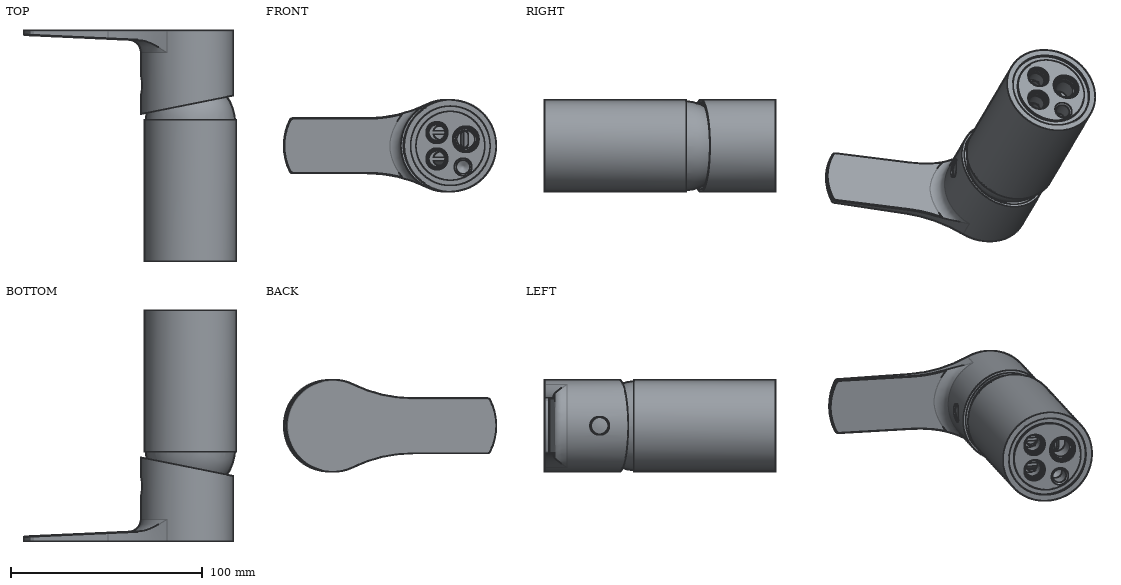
import cadquery as cq
import math


LENGTH = 120.5

BODY_RADIUS = 24.0
BODY_LENGTH = 73.9
GROOVE_OUTER_RADIUS = 20.7
GROOVE_INNER_RADIUS = 18.0
GROOVE_DEPTH = 1.5

MOUTH_CHAMFER = 0.4

INLET_X = -7.0
INLET_Z = 6.9
INLET_STEPS = ((5.3, 1.9), (4.8, 3.7), (4.2, 10.8))
PASSAGE_X = -5.2
PASSAGE_RADIUS = 3.7
PASSAGE_DEPTH = 14.5
WEB_THICKNESS = 1.7
WEB_FOOT = 2.4

OUTLET_X = 8.1
OUTLET_Z = 3.4
OUTLET_STEPS = ((6.5, 1.2), (5.7, 3.1), (4.7, 13.3))
SLOT_X = 7.4
SLOT_WIDTH = 3.9
SLOT_HEIGHT = 8.4
SLOT_DEPTH = 16.9
RIDGE_X = 7.0
RIDGE_GAP = 0.5

FIXING_X = 6.6
FIXING_Z = -11.1
FIXING_RADIUS = 3.6
FIXING_CHAMFER = 1.0
FIXING_DEPTH = 9.6
FIXING_TIP_DEPTH = 2.0

DOME_RADIUS = 23.4
DOME_CENTRE_Y = 72.3

HANDLE_X = -1.7
HANDLE_RADIUS = 24.1
HANDLE_FRONT_Y = 81.6
HANDLE_SLANT = 11.3
CAVITY_RADIUS = 22.7
CAVITY_END_Y = 98.9
BACK_EDGE_RADIUS = 0.4

LEVER_TIP_X = -86.9
LEVER_HALF_WIDTH = 14.5
LEVER_TIP_RADIUS = 30.1
LEVER_CORNER_RADIUS = 1.8
LEVER_FLARE_RADIUS = 69.9
LEVER_TIP_THICKNESS = 2.7
LEVER_TAPER = 2.6
LEVER_BLEND_RADIUS = 6.5
LEVER_EDGE_CHAMFER = 0.5

PLUG_Y = 91.7
PLUG_RADIUS = 4.5
PLUG_CHAMFER = 0.6
PLUG_RECESS = 0.8
PLUG_CROWN = 0.5


def cylinder_y(radius, start_y, end_y, x=0.0, z=0.0):
    start = cq.Vector(x, start_y, z)
    return cq.Workplane(cq.Solid.makeCylinder(radius, end_y - start_y, start, cq.Vector(0, 1, 0)))


def cone_y(start_radius, end_radius, start_y, length, x, z):
    start = cq.Vector(x, start_y, z)
    return cq.Workplane(cq.Solid.makeCone(start_radius, end_radius, length, start, cq.Vector(0, 1, 0)))


def stepped_hole(steps, x, z):
    """Hole whose radius shrinks step by step, with a chamfered mouth."""
    mouth_radius = steps[0][0]
    hole = cone_y(mouth_radius + MOUTH_CHAMFER, mouth_radius, 0, MOUTH_CHAMFER, x, z)
    for radius, depth in steps:
        hole = hole.union(cylinder_y(radius, 0, depth, x, z))
    return hole


def inlet_cut(side):
    """Stepped inlet hole leading to an offset passage that a web splits in two; side is +1 or -1."""
    z = side * INLET_Z
    floor_depth = INLET_STEPS[-1][1]
    inner_z = z - side * WEB_THICKNESS / 2
    outer_z = z + side * WEB_THICKNESS / 2
    web = (
        cq.Workplane("YZ")
        .polyline([
            (floor_depth, inner_z),
            (floor_depth, outer_z),
            (PASSAGE_DEPTH, outer_z + side * WEB_FOOT),
            (PASSAGE_DEPTH, inner_z),
        ])
        .close()
        .extrude(BODY_RADIUS, both=True)
    )
    passage = cylinder_y(PASSAGE_RADIUS, floor_depth, PASSAGE_DEPTH, PASSAGE_X, z).cut(web)
    return stepped_hole(INLET_STEPS, INLET_X, z).union(passage)


def outlet_cut():
    """Stepped outlet hole; its floor has an upright round-ended slot with a sharp ridge along it."""
    floor_depth = OUTLET_STEPS[-1][1]
    slot = (
        cq.Workplane("XZ", origin=(0, floor_depth, 0))
        .center(SLOT_X, OUTLET_Z)
        .slot2D(SLOT_HEIGHT, SLOT_WIDTH, 90)
        .extrude(floor_depth - SLOT_DEPTH)
    )
    ridge = (
        cq.Workplane("XY")
        .polyline([
            (SLOT_X - SLOT_WIDTH / 2, SLOT_DEPTH),
            (RIDGE_X, floor_depth + RIDGE_GAP),
            (SLOT_X + SLOT_WIDTH / 2, SLOT_DEPTH),
        ])
        .close()
        .extrude(BODY_RADIUS, both=True)
    )
    return stepped_hole(OUTLET_STEPS, OUTLET_X, OUTLET_Z).union(slot.cut(ridge))


def fixing_cut():
    mouth_radius = FIXING_RADIUS + FIXING_CHAMFER
    return (
        cone_y(mouth_radius, FIXING_RADIUS, 0, FIXING_CHAMFER, FIXING_X, FIXING_Z)
        .union(cylinder_y(FIXING_RADIUS, 0, FIXING_DEPTH, FIXING_X, FIXING_Z))
        .union(cone_y(FIXING_RADIUS, 0, FIXING_DEPTH, FIXING_TIP_DEPTH, FIXING_X, FIXING_Z))
    )


def make_body():
    groove = cylinder_y(GROOVE_OUTER_RADIUS, 0, GROOVE_DEPTH).cut(
        cylinder_y(GROOVE_INNER_RADIUS, 0, GROOVE_DEPTH)
    )
    body = cylinder_y(BODY_RADIUS, 0, BODY_LENGTH).cut(groove)
    for side in (1, -1):
        body = body.cut(inlet_cut(side))
    return body.cut(outlet_cut()).cut(fixing_cut())


def make_dome():
    ball = cq.Workplane().sphere(DOME_RADIUS).translate((0, DOME_CENTRE_Y, 0))
    return ball.intersect(cylinder_y(BODY_RADIUS, BODY_LENGTH, LENGTH))


def make_barrel():
    """Handle cylinder with its slanted front end."""
    slope = math.tan(math.radians(HANDLE_SLANT))
    reach = 2 * HANDLE_RADIUS
    side_profile = (
        cq.Workplane("XY")
        .polyline([
            (HANDLE_X - reach, HANDLE_FRONT_Y - reach * slope),
            (HANDLE_X + reach, HANDLE_FRONT_Y + reach * slope),
            (HANDLE_X + reach, LENGTH),
            (HANDLE_X - reach, LENGTH),
        ])
        .close()
        .extrude(HANDLE_RADIUS, both=True)
    )
    return cylinder_y(HANDLE_RADIUS, 0, LENGTH, HANDLE_X).intersect(side_profile)


def lever_outline():
    """Lever outline: bowed tip, straight sides, and arcs that run tangent into the handle circle."""
    arc_centre_z = LEVER_HALF_WIDTH + LEVER_FLARE_RADIUS
    centre_distance = HANDLE_RADIUS + LEVER_FLARE_RADIUS
    arc_centre_dx = math.sqrt(centre_distance**2 - arc_centre_z**2)
    arc_start_x = HANDLE_X - arc_centre_dx
    contact_x = HANDLE_X - arc_centre_dx * HANDLE_RADIUS / centre_distance
    contact_z = arc_centre_z * HANDLE_RADIUS / centre_distance
    tip_bow = LEVER_TIP_RADIUS - math.sqrt(LEVER_TIP_RADIUS**2 - LEVER_HALF_WIDTH**2)
    corner_x = LEVER_TIP_X + tip_bow
    return (
        cq.Workplane("XZ", origin=(0, LENGTH, 0))
        .moveTo(contact_x, contact_z)
        .radiusArc((arc_start_x, LEVER_HALF_WIDTH), LEVER_FLARE_RADIUS)
        .lineTo(corner_x, LEVER_HALF_WIDTH)
        .threePointArc((LEVER_TIP_X, 0), (corner_x, -LEVER_HALF_WIDTH))
        .lineTo(arc_start_x, -LEVER_HALF_WIDTH)
        .radiusArc((contact_x, -contact_z), LEVER_FLARE_RADIUS)
        .close()
    )


def make_lever():
    """Tapered lever with a round blend into the handle cylinder."""
    taper = math.tan(math.radians(LEVER_TAPER))
    blend_end_radius = HANDLE_RADIUS + LEVER_BLEND_RADIUS
    blend_end_y = LENGTH - LEVER_TIP_THICKNESS - taper * (HANDLE_X - blend_end_radius - LEVER_TIP_X)
    blend_start_y = blend_end_y - LEVER_BLEND_RADIUS
    plate_profile = (
        cq.Workplane("XY")
        .polyline([
            (LEVER_TIP_X, LENGTH),
            (LEVER_TIP_X, LENGTH - LEVER_TIP_THICKNESS),
            (HANDLE_X, LENGTH - LEVER_TIP_THICKNESS - taper * (HANDLE_X - LEVER_TIP_X)),
            (HANDLE_X, LENGTH),
        ])
        .close()
        .extrude(HANDLE_RADIUS, both=True)
    )
    bend = LEVER_BLEND_RADIUS * (1 - math.sqrt(0.5))
    blend = (
        cq.Workplane("XY", origin=(HANDLE_X, 0, 0))
        .moveTo(0, blend_start_y)
        .lineTo(HANDLE_RADIUS, blend_start_y)
        .threePointArc((HANDLE_RADIUS + bend, blend_end_y - bend), (blend_end_radius, blend_end_y))
        .lineTo(blend_end_radius, LENGTH)
        .lineTo(0, LENGTH)
        .close()
        .revolve(360, (0, 0, 0), (0, 1, 0))
    )
    prism = lever_outline().extrude(LENGTH - blend_start_y)
    tip_corners = cq.selectors.BoxSelector(
        (LEVER_TIP_X, 0, -BODY_RADIUS), (LEVER_TIP_X + LEVER_TIP_RADIUS, LENGTH, BODY_RADIUS)
    )
    prism = prism.edges("|Y").edges(tip_corners).fillet(LEVER_CORNER_RADIUS)
    plate = prism.intersect(plate_profile).faces("<Y").edges().chamfer(LEVER_EDGE_CHAMFER)
    return plate.union(prism.intersect(blend))


def plug_space():
    """Radial hole in the handle side with a chamfered mouth."""
    surface_x = HANDLE_X - HANDLE_RADIUS
    mouth = cq.Solid.makeCone(
        PLUG_RADIUS + PLUG_CHAMFER, PLUG_RADIUS, 2 * PLUG_CHAMFER,
        cq.Vector(surface_x, PLUG_Y, 0), cq.Vector(1, 0, 0),
    )
    hole = cq.Solid.makeCylinder(
        PLUG_RADIUS, HANDLE_RADIUS, cq.Vector(surface_x, PLUG_Y, 0), cq.Vector(1, 0, 0)
    )
    return cq.Workplane(mouth).union(cq.Workplane(hole))


def make_handle():
    handle = make_barrel().union(make_lever())
    handle = handle.faces(">Y").edges().fillet(BACK_EDGE_RADIUS)
    return handle.cut(cylinder_y(CAVITY_RADIUS, 0, CAVITY_END_Y, HANDLE_X)).cut(plug_space())


def make_plug():
    """Round plug with a crowned outer face; its inner face lies level with the cavity wall."""
    inner_x = HANDLE_X - CAVITY_RADIUS
    rim_x = HANDLE_X - HANDLE_RADIUS + PLUG_RECESS
    crown_radius = (PLUG_RADIUS**2 + PLUG_CROWN**2) / (2 * PLUG_CROWN)
    crown_middle = PLUG_RADIUS / 2
    crown_drop = crown_radius - math.sqrt(crown_radius**2 - crown_middle**2)
    return (
        cq.Workplane("XY", origin=(0, PLUG_Y, 0))
        .moveTo(inner_x, 0)
        .lineTo(inner_x, PLUG_RADIUS)
        .lineTo(rim_x, PLUG_RADIUS)
        .threePointArc((rim_x - PLUG_CROWN + crown_drop, crown_middle), (rim_x - PLUG_CROWN, 0))
        .close()
        .revolve(360, (0, 0, 0), (1, 0, 0))
    )


body = make_body()
dome = make_dome()
handle = make_handle()
plug = make_plug()

result = cq.Compound.makeCompound([body.val(), dome.val(), handle.val(), plug.val()])